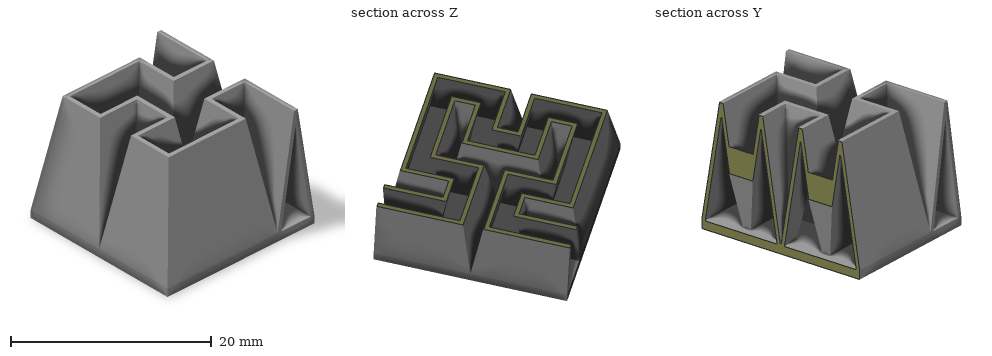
import cadquery as cq

side = 20.0
base_height = 1.0
total_height = 14.5
pitch = 5.0
crest_width = 0.5
skin = 0.5

wall_height = total_height - base_height
foot_half = pitch / 2
crest_half = crest_width / 2
lean = (foot_half - crest_half) / wall_height
cavity_half = foot_half - skin
cavity_height = cavity_half / lean

near = pitch / 2
far = 1.5 * pitch
beyond = side / 2 + pitch

half_path = [
    (-beyond, far),
    (-near, far),
    (-near, near),
    (-far, near),
    (-far, -far),
    (-near, -far),
    (-near, -near),
]
path = half_path + [(-x, y) for x, y in reversed(half_path)]


def tapered_profile(plane, low, high, foot, crest, height):
    """Slab whose profile spans low to high, widened by foot at the bottom and crest at the top."""
    points = [(low - foot, 0), (high + foot, 0), (high + crest, height)]
    if high - low + 2 * crest > 0:
        points.append((low - crest, height))
    return cq.Workplane(plane).polyline(points).close().extrude(2 * side, both=True)


def ridge(start, end, foot, crest, height):
    """Straight piece of wall with all four sides leaning inward."""
    x_low, x_high = sorted((start[0], end[0]))
    y_low, y_high = sorted((start[1], end[1]))
    across_x = tapered_profile("XZ", x_low, x_high, foot, crest, height)
    across_y = tapered_profile("YZ", y_low, y_high, foot, crest, height)
    return across_x.intersect(across_y).translate((0, 0, base_height))


def meander(foot, crest, height):
    """Joined ridges along the whole path."""
    body = ridge(path[0], path[1], foot, crest, height)
    for start, end in zip(path[1:], path[2:]):
        body = body.union(ridge(start, end, foot, crest, height))
    return body


envelope = cq.Workplane("XY").box(side, side, total_height, centered=(True, True, False))
base = cq.Workplane("XY").box(side, side, base_height, centered=(True, True, False))
wall = meander(foot_half, crest_half, wall_height).intersect(envelope)
cavity = meander(cavity_half, 0, cavity_height)

result = base.union(wall).cut(cavity).clean()